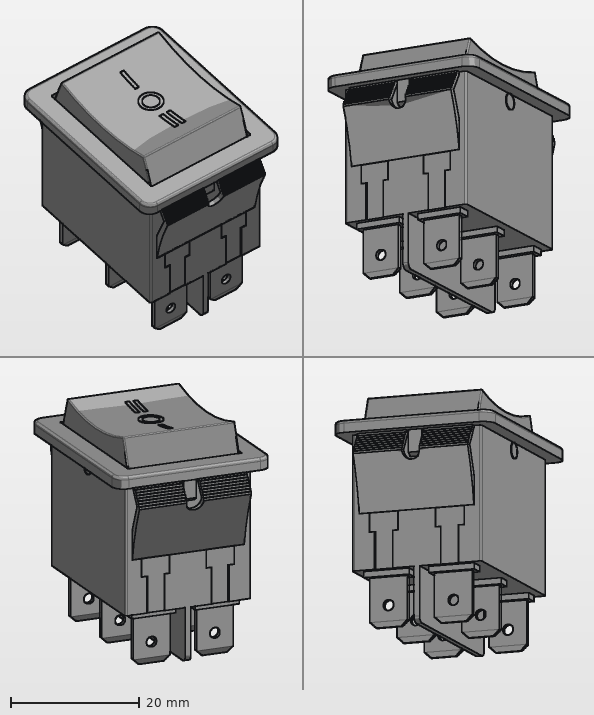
import cadquery as cq


body_length = 28.15
body_width = 21.63
body_corner_radius = 0.37
body_bottom = 8.95
flange_length = 33.0
flange_width = 26.6
flange_bottom = 30.65
flange_thickness = 2.0
flange_corner_radius = 2.0
flange_top_radius = 0.5
flange_top = flange_bottom + flange_thickness
body_side = body_length / 2

window_length = 25.85
window_width = 19.47
window_corner_radius = 0.2
rocker_width = 19.17
rocker_rim_x = 10.55
rocker_rim_z = 37.2
rocker_side_x = 11.8
rocker_side_z = 33.9
rocker_foot_x = 12.82
rocker_dish_z = 35.67
rocker_edge_radius = 0.22

mark_depth = 0.07
mark_bar_length = 3.95
mark_bar_width = 0.7
mark_bar_x = 5.55
double_bar_offset = 0.7
ring_outer_diameter = 4.0
ring_inner_diameter = 2.8

pip_diameter = 2.6
pip_height = 0.15

clip_width = 19.17
clip_span = 33.7
clip_tip_x = clip_span / 2
clip_top_x = 14.9
clip_tip_z = 27.1
clip_step_count = 9
clip_arc_x = 15.27
clip_arc_z = 22.8
clip_foot_x = 14.15
clip_foot_z = 18.02
clip_inner_top_z = 30.35
clip_inner_tip_x = 15.95
clip_inner_tip_z = 27.3
clip_inner_arc_x = 14.98
clip_inner_arc_z = 25.0
clip_inner_foot_z = 22.8
clip_notch_width = 2.95
clip_notch_bottom = 25.6

rib_width = 2.2
rib_side_x = 14.83
rib_slope_top = 27.05
rib_bottom = 26.5

groove_depth = 0.1
groove_y = 5.55
groove_head_width = 4.8
groove_head_bottom = 14.98
groove_stem_width = 3.05
groove_wall_run = 0.2

terminal_x = 11.9
terminal_y = 5.43
terminal_width = 6.3
terminal_thickness = 0.75
terminal_tip_width = 4.25
terminal_tip_thickness = 0.45
terminal_tip_height = 0.95
terminal_hole_diameter = 1.7
terminal_hole_z = 3.5
collar_length = 2.4
collar_width = 7.58
collar_height = 0.95

divider_thickness = 0.95
divider_corner_radius = 1.0


def box(length, width, bottom, top, x=0, y=0):
    """Upright block centred on (x, y) between two heights."""
    block = cq.Workplane("XY").box(length, width, top - bottom, centered=(True, True, False))
    return block.translate((x, y, bottom))


def extruded_along_y(outline, width):
    """Solid from a closed XZ outline, centred on Y = 0."""
    return outline.close().extrude(width / 2, both=True)


def both_ends(shape):
    """The shape joined with its mirror image across the YZ plane."""
    return shape.union(shape.mirror("YZ"))


def make_housing():
    body = box(body_length, body_width, body_bottom, flange_bottom)
    body = body.edges("|Z").fillet(body_corner_radius)
    flange = box(flange_length, flange_width, flange_bottom, flange_top)
    flange = flange.edges("|Z").fillet(flange_corner_radius)
    flange = flange.faces(">Z").edges().fillet(flange_top_radius)
    window = box(window_length, window_width, flange_bottom, flange_top)
    window = window.edges("|Z").fillet(window_corner_radius)
    return body.union(flange.cut(window))


def rocker_profile():
    return (
        cq.Workplane("XZ")
        .moveTo(-rocker_foot_x, flange_bottom)
        .threePointArc((-rocker_side_x, rocker_side_z), (-rocker_rim_x, rocker_rim_z))
        .threePointArc((0, rocker_dish_z), (rocker_rim_x, rocker_rim_z))
        .threePointArc((rocker_side_x, rocker_side_z), (rocker_foot_x, flange_bottom))
    )


def make_marks():
    bottom = flange_top
    top = rocker_rim_z
    ring = cq.Workplane("XY").workplane(offset=bottom)
    ring = ring.circle(ring_outer_diameter / 2).circle(ring_inner_diameter / 2).extrude(top - bottom)
    marks = ring.union(box(mark_bar_length, mark_bar_width, bottom, top, -mark_bar_x))
    for side in (-1, 1):
        bar_y = side * double_bar_offset
        marks = marks.union(box(mark_bar_length, mark_bar_width, bottom, top, mark_bar_x, bar_y))
    return marks


def make_rocker():
    profile_solid = extruded_along_y(rocker_profile(), rocker_width)
    rocker = profile_solid.edges("not <Z").fillet(rocker_edge_radius)
    surface_layer = profile_solid.cut(profile_solid.translate((0, 0, -mark_depth)))
    return rocker.cut(make_marks().intersect(surface_layer))


def make_pips():
    pip_length = body_width + 2 * pip_height
    pip_z = flange_bottom - pip_diameter / 2
    pips = cq.Workplane("XZ").center(0, pip_z).circle(pip_diameter / 2)
    return pips.extrude(pip_length / 2, both=True)


def make_clip():
    """Spring leaf at +X: stepped upper arm, then a curved leg back to the body."""
    step_drop = (flange_bottom - clip_tip_z) / clip_step_count
    step_run = (clip_tip_x - clip_top_x) / (clip_step_count - 1)
    outline = cq.Workplane("XZ").moveTo(body_side, flange_bottom)
    for step in range(clip_step_count):
        step_x = clip_top_x + step * step_run
        step_z = flange_bottom - step * step_drop
        outline = outline.lineTo(step_x, step_z).lineTo(step_x, step_z - step_drop)
    outline = (
        outline.threePointArc((clip_arc_x, clip_arc_z), (clip_foot_x, clip_foot_z))
        .lineTo(body_side, clip_foot_z)
        .lineTo(body_side, clip_inner_foot_z)
        .threePointArc((clip_inner_arc_x, clip_inner_arc_z), (clip_inner_tip_x, clip_inner_tip_z))
        .lineTo(body_side, clip_inner_top_z)
    )
    notch_radius = clip_notch_width / 2
    notch_center_z = clip_notch_bottom + notch_radius
    notch = (
        cq.Workplane("YZ", origin=(body_side, 0, 0))
        .moveTo(-notch_radius, flange_bottom)
        .lineTo(-notch_radius, notch_center_z)
        .threePointArc((0, clip_notch_bottom), (notch_radius, notch_center_z))
        .lineTo(notch_radius, flange_bottom)
        .close()
        .extrude(clip_tip_x - body_side)
    )
    return extruded_along_y(outline, clip_width).cut(notch)


def make_rib():
    outline = cq.Workplane("XZ").polyline([
        (body_side, flange_bottom),
        (rib_side_x, flange_bottom),
        (rib_side_x, rib_slope_top),
        (body_side, rib_bottom),
    ])
    return extruded_along_y(outline, rib_width)


def make_groove():
    """Groove in the +X, +Y quarter: wide head under the clip, narrow stem down to the body bottom."""
    floor_x = body_side - groove_depth
    head_x = body_side - groove_depth / 2
    head = box(groove_depth, groove_head_width, groove_head_bottom, clip_foot_z, head_x, groove_y)
    stem_inner_y = groove_y - groove_stem_width / 2
    stem_outer_y = groove_y + groove_stem_width / 2
    stem = (
        cq.Workplane("XY", origin=(0, 0, body_bottom))
        .polyline([
            (floor_x, stem_inner_y),
            (body_side, stem_inner_y),
            (body_side, stem_outer_y),
            (floor_x, stem_outer_y - groove_wall_run),
        ])
        .close()
        .extrude(groove_head_bottom - body_bottom)
    )
    return head.union(stem)


def make_terminal():
    """Blade terminal on the Z axis with a tapered tip, a cross hole and a collar."""
    blade = box(terminal_thickness, terminal_width, terminal_tip_height, body_bottom)
    tip = (
        cq.Workplane("XY")
        .rect(terminal_tip_thickness, terminal_tip_width)
        .workplane(offset=terminal_tip_height)
        .rect(terminal_thickness, terminal_width)
        .loft(ruled=True)
    )
    collar = box(collar_length, collar_width, body_bottom - collar_height, body_bottom)
    hole = cq.Workplane("YZ").center(0, terminal_hole_z).circle(terminal_hole_diameter / 2)
    hole = hole.extrude(terminal_thickness, both=True)
    return blade.union(tip).union(collar).cut(hole)


def make_divider():
    divider = box(body_length, divider_thickness, 0, body_bottom)
    return divider.faces("<Z").edges("|Y").fillet(divider_corner_radius)


grooves = make_groove()
grooves = both_ends(grooves.union(grooves.mirror("XZ")))

result = make_housing().cut(grooves)
result = result.union(make_rocker()).union(make_pips()).union(make_divider())
result = result.union(both_ends(make_clip())).union(both_ends(make_rib()))

terminal = make_terminal()
for row_x in (-terminal_x, 0, terminal_x):
    for row_y in (-terminal_y, terminal_y):
        result = result.union(terminal.translate((row_x, row_y, 0)))